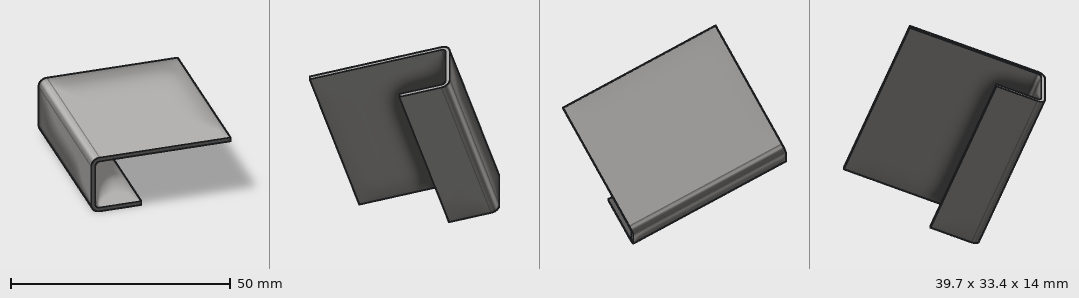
import cadquery as cq

width = 39.73
top_length = 33.35
bottom_length = 12.0
height = 14.0
thickness = 1.0
inner_radius = 1.0

outer_radius = inner_radius + thickness


def sheet(length, rise, bottom_z):
    """Flat sheet centred on X, running in +Y from the outer face of the web at Y = 0."""
    blank = cq.Workplane("XY").box(width, length, rise, centered=(True, False, False))
    return blank.translate((0, 0, bottom_z))


def round_bends(sharp_channel):
    """Round both bends with concentric outside and inside radii."""
    rounded_outside = sharp_channel.faces("<Y").edges("|X").fillet(outer_radius)
    inside_corners = cq.selectors.BoxSelector(
        (-width, thickness / 2, thickness / 2),
        (width, thickness * 3 / 2, height - thickness / 2),
    )
    return rounded_outside.edges("|X").edges(inside_corners).fillet(inner_radius)


web = sheet(thickness, height, 0)
top_flange = sheet(top_length, thickness, height - thickness)
bottom_flange = sheet(bottom_length, thickness, 0)

result = round_bends(web.union(top_flange).union(bottom_flange))